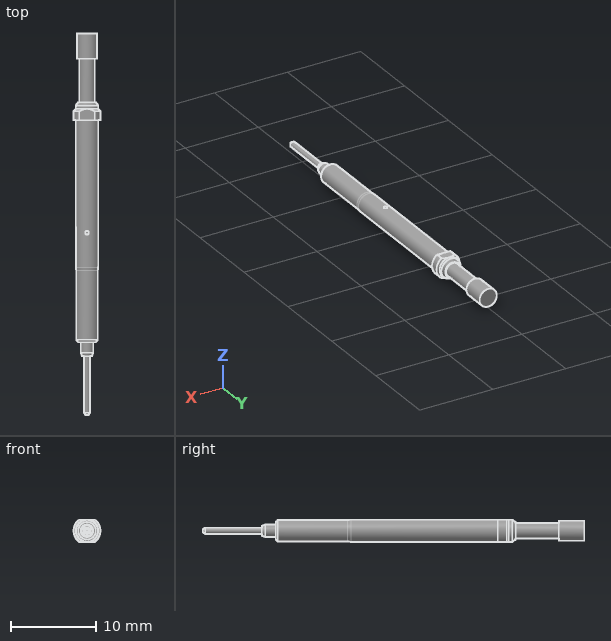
import cadquery as cq

length = 44.8

head_dia = 2.37
plunger_dia = 1.85
lip_end_dia = 2.05
body_dia = 2.65
collar_dia = 3.2
sleeve_dia = 2.55
sleeve_end_dia = 2.05
tail_dia = 1.5
tail_end_dia = 1.2
pin_dia = 0.75
tip_dia = 0.35

head_length = 3.0
plunger_length = 5.05
lip_length = 0.4
neck_length = 0.4
collar_length = 1.3
collar_chamfer = (collar_dia - body_dia) / 2

body_taper_length = 0.4
sleeve_length = 8.15
sleeve_chamfer_length = 0.25
tail_length = 1.2
tail_chamfer_length = 0.4
pin_length = 6.95
tip_length = 0.3

head_start = length - head_length
plunger_start = head_start - plunger_length
lip_start = plunger_start - lip_length
collar_top = lip_start - neck_length
collar_bottom = collar_top - collar_length

tail_bottom = pin_length + tail_chamfer_length
tail_top = tail_bottom + tail_length
sleeve_bottom = tail_top + sleeve_chamfer_length
taper_bottom = sleeve_bottom + sleeve_length
taper_top = taper_bottom + body_taper_length

side_hole_dia = 0.45
side_hole_depth = 0.25
side_hole_y = 21.4


def turned_probe():
    """Half profile (radius, Y) revolved about the Y axis."""
    profile = (
        cq.Workplane("XY")
        .moveTo(0, 0)
        .lineTo(tip_dia / 2, 0)
        .lineTo(pin_dia / 2, tip_length)
        .lineTo(pin_dia / 2, pin_length)
        .lineTo(tail_end_dia / 2, pin_length)
        .lineTo(tail_dia / 2, tail_bottom)
        .lineTo(tail_dia / 2, tail_top)
        .lineTo(sleeve_end_dia / 2, tail_top)
        .lineTo(sleeve_dia / 2, sleeve_bottom)
        .lineTo(sleeve_dia / 2, taper_bottom)
        .lineTo(body_dia / 2, taper_top)
        .lineTo(body_dia / 2, collar_bottom)
        .lineTo(collar_dia / 2, collar_bottom)
        .lineTo(collar_dia / 2, collar_top - collar_chamfer)
        .lineTo(body_dia / 2, collar_top)
        .lineTo(body_dia / 2, lip_start)
        .lineTo(lip_end_dia / 2, plunger_start)
        .lineTo(plunger_dia / 2, plunger_start)
        .lineTo(plunger_dia / 2, head_start)
        .lineTo(head_dia / 2, head_start)
        .lineTo(head_dia / 2, length)
        .lineTo(0, length)
        .close()
    )
    return profile.revolve(360, (0, 0, 0), (0, 1, 0))


def flats_envelope():
    """Slab that trims the collar to two flats level with the body."""
    return cq.Workplane("XY").box(collar_dia, length, body_dia).translate((0, length / 2, 0))


def side_hole():
    """Cutter that enters the body from +Z."""
    floor_z = body_dia / 2 - side_hole_depth
    return (
        cq.Workplane("XY", origin=(0, side_hole_y, floor_z))
        .circle(side_hole_dia / 2)
        .extrude(body_dia)
    )


result = turned_probe().intersect(flats_envelope()).cut(side_hole())